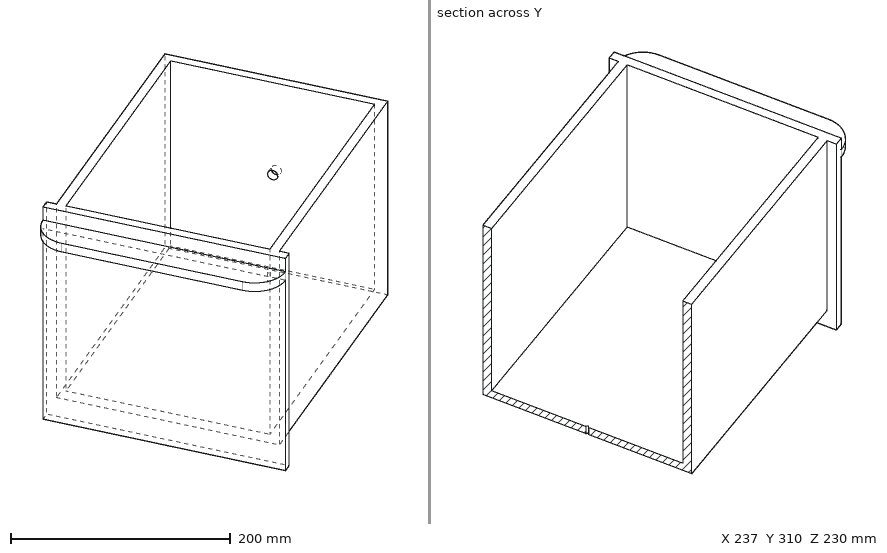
import cadquery as cq

front_width = 237.0
overall_depth = 310.0
front_height = 230.0

board = 9.3
handle_reach = 30.0
handle_drop = 14.3
front_overhang_below = 20.0
front_overhang_side = 9.5

box_width = front_width - 2 * front_overhang_side
box_depth = overall_depth - handle_reach - board
box_height = front_height - front_overhang_below

back_hole_diameter = 10.0
back_hole_drop = (box_height - board) / 2
floor_hole_diameter = 2.5
floor_hole_gap = 9.3

front_face_y = handle_reach
box_start_y = front_face_y + board
back_inner_y = overall_depth - board


def block(width, depth, height, start_y, bottom_z):
    """Block centred on X, growing toward +Y and +Z."""
    return (
        cq.Workplane("XY")
        .box(width, depth, height, centered=(True, False, False))
        .translate((0, start_y, bottom_z))
    )


def drawer_box():
    """Box of two sides, a back and a floor, closed in front by the drawer front."""
    outside = block(box_width, box_depth, box_height, box_start_y, front_overhang_below)
    cavity = block(
        box_width - 2 * board,
        box_depth - board,
        box_height - board,
        box_start_y,
        front_overhang_below + board,
    )
    return outside.cut(cavity)


def handle():
    """Full-width ledge with both front corners rounded to its whole reach."""
    bottom_z = front_height - handle_drop - board
    corner_x = front_width / 2
    straight_x = corner_x - handle_reach
    return (
        cq.Workplane("XY", origin=(0, 0, bottom_z))
        .moveTo(-corner_x, front_face_y)
        .radiusArc((-straight_x, 0), -handle_reach)
        .lineTo(straight_x, 0)
        .radiusArc((corner_x, front_face_y), -handle_reach)
        .close()
        .extrude(board)
    )


def back_hole():
    """Cutter for the round hole through the back."""
    return (
        cq.Workplane("XZ", origin=(0, overall_depth, front_height - back_hole_drop))
        .circle(back_hole_diameter / 2)
        .extrude(board)
    )


def floor_hole():
    """Cutter for the pin hole through the floor, close to the back."""
    return (
        cq.Workplane("XY", origin=(0, back_inner_y - floor_hole_gap, front_overhang_below))
        .circle(floor_hole_diameter / 2)
        .extrude(board)
    )


drawer_front = block(front_width, board, front_height, front_face_y, 0)
result = drawer_front.union(drawer_box()).union(handle()).cut(back_hole()).cut(floor_hole())